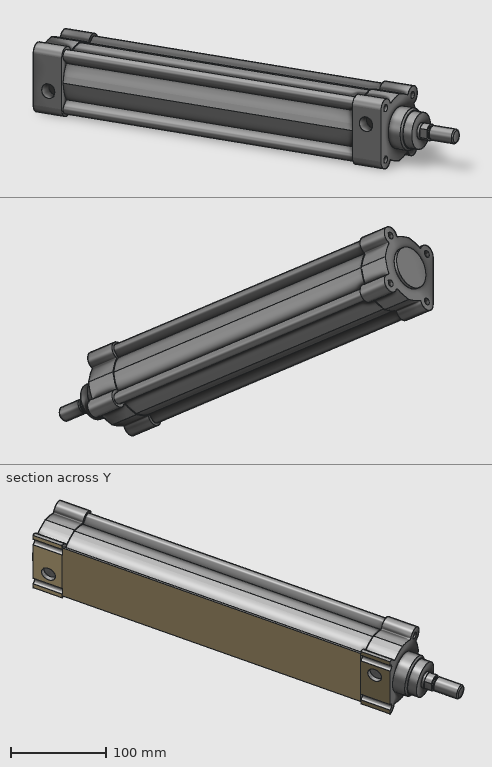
import cadquery as cq
import math

OVERALL_LENGTH = 494.0
REAR_BOSS_LENGTH = 3.5
CAP_LENGTH = 34.5
BARREL_LENGTH = 352.0
COLLAR_LENGTH = 16.5
NECK_LENGTH = 10.5

BARREL_START = REAR_BOSS_LENGTH + CAP_LENGTH
FRONT_CAP_START = BARREL_START + BARREL_LENGTH
FRONT_FACE = FRONT_CAP_START + CAP_LENGTH
NECK_START = FRONT_FACE + COLLAR_LENGTH
ROD_START = NECK_START + NECK_LENGTH

CAP_SIZE = 76.0
CAP_DISC_RADIUS = 35.5
CAP_RIDGE_HALF_WIDTH = 8.5
LOBE_RADIUS = 10.0
NOTCH_FILLET = 1.5
LOBE_OFFSET = CAP_SIZE / 2 - LOBE_RADIUS
SCREW_HOLE_DIAMETER = 7.5

BOSS_DIAMETER = 45.5
COLLAR_CHAMFER = 2.0
NECK_DIAMETER = 39.5

PORT_DIAMETER = 16.0
PORT_DEPTH = 15.0
PORT_HEIGHT = 10.5
PORT_INSET = 16.5

BARREL_DISC_RADIUS = 34.5
BARREL_RIDGE_HALF_WIDTH = 7.0
BARREL_LOBE_RADIUS = 6.0
BARREL_LOBE_OFFSET = 29.0

STUB_DIAMETER = 18.5
STUB_LENGTH = 3.0
FLAT_DIAMETER = 18.0
FLAT_LENGTH = 8.5
FLAT_WIDTH = 15.0
GROOVE_DIAMETER = 13.5
GROOVE_LENGTH = 1.5
THREAD_DIAMETER = 16.0
THREAD_CHAMFER = 1.5


def cylinder(start, length, diameter):
    """Cylinder on the X axis."""
    return cq.Workplane("YZ", origin=(start, 0, 0)).circle(diameter / 2).extrude(length)


def ridged_disc(start, length, radius, half_width):
    """Disc along X with a low ridge on each of its four sides, made by two planes tangent to it."""
    plane = cq.Workplane("YZ", origin=(start, 0, 0))
    body = plane.circle(radius).extrude(length)
    tangent_height = math.sqrt(radius**2 - half_width**2)
    ridge_height = radius**2 / tangent_height
    for angle in (0, 90, 180, 270):
        ridge = (
            plane.lineTo(half_width, tangent_height)
            .lineTo(0, ridge_height)
            .lineTo(-half_width, tangent_height)
            .close()
            .extrude(length)
        )
        body = body.union(ridge.rotate((0, 0, 0), (1, 0, 0), angle))
    return body


def fillet_notches(cap, start):
    """Round the eight inner corners where the lobes meet the disc."""
    diagonal = math.hypot(LOBE_OFFSET, LOBE_OFFSET)
    reach = (diagonal**2 + CAP_DISC_RADIUS**2 - LOBE_RADIUS**2) / (2 * diagonal)
    spread = math.degrees(math.acos(reach / CAP_DISC_RADIUS))
    for diagonal_angle in (45, 135, 225, 315):
        for side in (1, -1):
            angle = math.radians(diagonal_angle + side * spread)
            corner = (
                start + CAP_LENGTH / 2,
                CAP_DISC_RADIUS * math.cos(angle),
                CAP_DISC_RADIUS * math.sin(angle),
            )
            notch_edge = cap.edges(cq.selectors.NearestToPointSelector(corner))
            cap = notch_edge.fillet(NOTCH_FILLET)
    return cap


def end_cap(start, port_x, port_z):
    """Ridged disc with four lobes, a flat -Y side, four screw holes and one air port."""
    plane = cq.Workplane("YZ", origin=(start, 0, 0))
    corners = plane.rect(2 * LOBE_OFFSET, 2 * LOBE_OFFSET, forConstruction=True).vertices()

    cap = ridged_disc(start, CAP_LENGTH, CAP_DISC_RADIUS, CAP_RIDGE_HALF_WIDTH)
    cap = cap.union(corners.circle(LOBE_RADIUS).extrude(CAP_LENGTH))
    cap = fillet_notches(cap, start)

    flat_side = cq.Workplane("XY", origin=(start, -CAP_SIZE / 2, 0)).box(
        CAP_LENGTH, CAP_SIZE / 2, 2 * LOBE_OFFSET, centered=(False, False, True)
    )
    screw_holes = corners.circle(SCREW_HOLE_DIAMETER / 2).extrude(CAP_LENGTH)
    port = (
        cq.Workplane("XZ", origin=(port_x, -CAP_SIZE / 2, port_z))
        .circle(PORT_DIAMETER / 2)
        .extrude(-PORT_DEPTH)
    )
    return cap.union(flat_side).cut(screw_holes).cut(port)


def make_rear_cap():
    """Cap with a shallow round boss on its outer face."""
    cap = end_cap(REAR_BOSS_LENGTH, BARREL_START - PORT_INSET, -PORT_HEIGHT)
    return cap.union(cylinder(0, REAR_BOSS_LENGTH, BOSS_DIAMETER))


def make_barrel():
    """Ridged disc along X with four rounded lobes that reach out diagonally."""
    barrel = ridged_disc(BARREL_START, BARREL_LENGTH, BARREL_DISC_RADIUS, BARREL_RIDGE_HALF_WIDTH)
    plane = cq.Workplane("YZ", origin=(BARREL_START, 0, 0))
    slot_length = 2 * (math.hypot(BARREL_LOBE_OFFSET, BARREL_LOBE_OFFSET) + BARREL_LOBE_RADIUS)
    for angle in (45, 135):
        lobe_pair = plane.transformed(rotate=(0, 0, angle)).slot2D(slot_length, 2 * BARREL_LOBE_RADIUS)
        barrel = barrel.union(lobe_pair.extrude(BARREL_LENGTH))
    return barrel


def make_front_cap():
    """Cap with a chamfered collar and a narrower neck towards the rod."""
    cap = end_cap(FRONT_CAP_START, FRONT_CAP_START + PORT_INSET, PORT_HEIGHT)
    collar = cylinder(FRONT_FACE, COLLAR_LENGTH, BOSS_DIAMETER).faces(">X").chamfer(COLLAR_CHAMFER)
    return cap.union(collar).union(cylinder(NECK_START, NECK_LENGTH, NECK_DIAMETER))


def make_piston_rod():
    """Rod end with two wrench flats, a relief groove and a threaded tip."""
    flat_start = ROD_START + STUB_LENGTH
    groove_start = flat_start + FLAT_LENGTH
    thread_start = groove_start + GROOVE_LENGTH
    stub = cylinder(ROD_START, STUB_LENGTH, STUB_DIAMETER)
    flat_stock = cq.Workplane("XY", origin=(flat_start, 0, 0)).box(
        FLAT_LENGTH, FLAT_WIDTH, FLAT_DIAMETER, centered=(False, True, True)
    )
    flats = cylinder(flat_start, FLAT_LENGTH, FLAT_DIAMETER).intersect(flat_stock)
    groove = cylinder(groove_start, GROOVE_LENGTH, GROOVE_DIAMETER)
    thread = cylinder(thread_start, OVERALL_LENGTH - thread_start, THREAD_DIAMETER)
    thread = thread.faces("<X or >X").chamfer(THREAD_CHAMFER)
    return stub.union(flats).union(groove).union(thread)


rear_cap = make_rear_cap()
barrel = make_barrel()
front_cap = make_front_cap()
piston_rod = make_piston_rod()

result = cq.Compound.makeCompound(
    [rear_cap.val(), barrel.val(), front_cap.val(), piston_rod.val()]
)